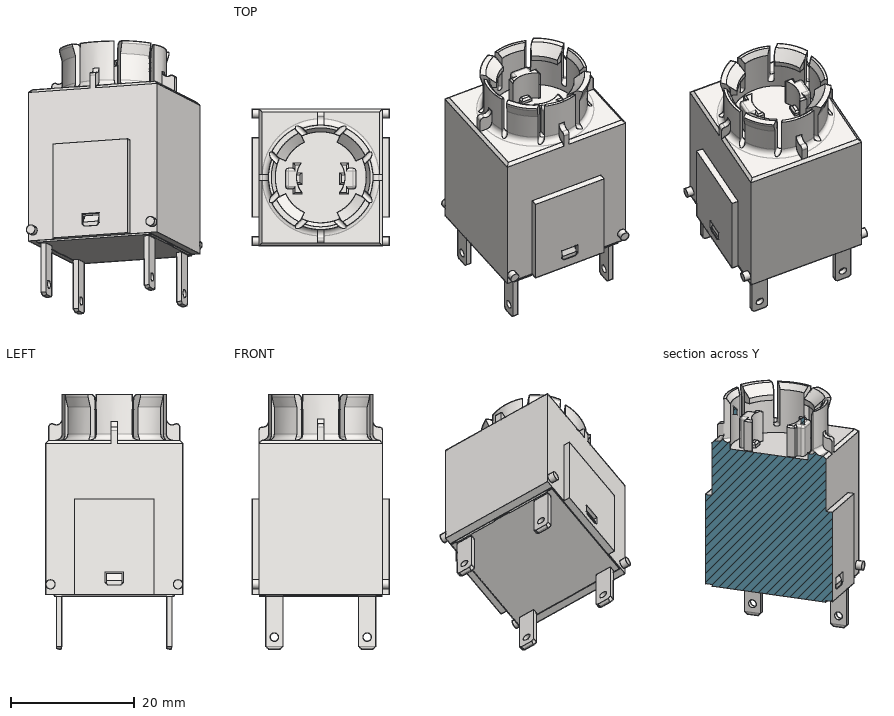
import cadquery as cq
import math

body_x = 20.0
body_y = 22.2
body_h = 24.95
body_chamfer = 0.5
overall_x = 22.2
side_step = (overall_x - body_x) / 2

collar_h = 7.42
top_z = body_h + collar_h
collar_r = 8.45
bore_r = 14.7 / 2
floor_z = body_h - 1.05
root_fillet = 1.05
lead_r = 8.0
lead_drop = 1.05
slot_w = 0.95
segment_w = 5.15
slot_floor_z = body_h + 0.05
slot_offset = (segment_w + slot_w) / 2
flare_r = 8.95
flare_band = 0.4
flare_drop = 2.05
hook_r = 6.25
hook_ramp = 1.55
hook_drop = 2.47
hook_angle = 40
diagonals = (45, 135, 225, 315)

rib_w = 1.0
rib_nose_r = 0.55
rib_valley_r = 0.9
rib_shoulder_z = top_z - 5.28
rib_y_end = body_y / 2 - body_chamfer

post_top_z = top_z - 3.17
post_face_r = 3.9
post_inner_x = 3.05
ear_outer_x = 4.45
ear_w = 5.05
post_outer_x = 5.7
post_w = 3.4
post_chamfer = 0.3
post_round = 0.45
post_corner_r = 0.5
post_shift_y = -0.2
bump_w = 1.85
bump_top_z = floor_z + 0.82
bump_chamfer = 0.35

panel_w = 12.85
panel_h = 15.45
pin_d = 1.5
pin_y = 10.3
pin_z = 1.65
window_w = 2.95
window_h = 2.05
window_z = 1.55
window_corner = 0.4
window_back = 0.6
window_front = 0.12
catch_w = 2.55
catch_slope_bottom = 0.7
catch_slope_top = 1.8

plate_x = 19.8
plate_y = 19.55
plate_t = 0.3
plate_chamfer = 0.2
plate_tab_w = 2.93
plate_corner_w = 1.0
terminal_len = 41.25 - top_z
terminal_w = 2.8
terminal_t = 0.85
terminal_x = 7.5
terminal_y = 8.9
terminal_corner = 0.5
terminal_edge = 0.12
terminal_hole_d = 1.3
terminal_hole_z = 1.98


def box(x, y, z0, z1):
    """Box centred on the Z axis between two heights."""
    return cq.Workplane("XY").workplane(offset=z0).rect(x, y).extrude(z1 - z0)


def both_sides(shape):
    """The shape together with its mirror image across the YZ plane."""
    return shape.union(shape.mirror("YZ"))


def turn(shape, angle):
    return shape.rotate((0, 0, 0), (0, 0, 1), angle)


def make_housing():
    return box(body_x, body_y, 0, body_h).faces(">Z").chamfer(body_chamfer)


def make_collar():
    """Collar ring with a filleted root and a flared rim on its four diagonal segments."""
    arc_mid = root_fillet * (1 - math.sqrt(0.5))
    ring = (
        cq.Workplane("XZ")
        .moveTo(bore_r, floor_z)
        .lineTo(collar_r + root_fillet, floor_z)
        .lineTo(collar_r + root_fillet, body_h)
        .threePointArc((collar_r + arc_mid, body_h + arc_mid), (collar_r, body_h + root_fillet))
        .lineTo(collar_r, top_z)
        .lineTo(lead_r, top_z)
        .lineTo(bore_r, top_z - lead_drop)
        .close()
        .revolve(360, (0, 0, 0), (0, 1, 0))
    )
    flare = (
        cq.Workplane("XZ")
        .moveTo(lead_r, top_z)
        .lineTo(flare_r, top_z)
        .lineTo(flare_r, top_z - flare_band)
        .lineTo(collar_r, top_z - flare_drop)
        .lineTo(lead_r, top_z - flare_drop)
        .close()
        .revolve(360, (0, 0, 0), (0, 1, 0))
    )
    bar = box(4 * collar_r, segment_w, floor_z, top_z)
    cross = turn(bar, diagonals[0]).union(turn(bar, diagonals[1]))
    return ring.union(flare.intersect(cross))


def make_slots():
    """Four round-bottomed slots, each running across the collar beside a diagonal."""
    places = [(-slot_offset, slot_floor_z + slot_w / 2), (slot_offset, slot_floor_z + slot_w / 2)]
    ends = cq.Workplane("YZ").pushPoints(places).circle(slot_w / 2).extrude(2 * collar_r, both=True)
    gap = box(4 * collar_r, slot_w, slot_floor_z + slot_w / 2, top_z + slot_w)
    slot = ends
    for y in (-slot_offset, slot_offset):
        slot = slot.union(gap.translate((0, y, 0)))
    return turn(slot, diagonals[0]).union(turn(slot, diagonals[1]))


def make_hook():
    """Inward snap hook, centred on the +X axis."""
    wall_r = (lead_r + collar_r) / 2
    hook = (
        cq.Workplane("XZ")
        .moveTo(wall_r, top_z - hook_drop)
        .lineTo(hook_r, top_z - hook_drop)
        .lineTo(hook_r, top_z - hook_ramp)
        .lineTo(lead_r, top_z)
        .lineTo(wall_r, top_z)
        .close()
        .revolve(hook_angle, (0, 0, 0), (0, 1, 0))
    )
    middle = hook.val().Center()
    return turn(hook, -math.degrees(math.atan2(middle.y, middle.x)))


def make_rib(end, nose_z):
    """Rib on the +X axis: a rounded nose at its outer end flows into a hollow that runs up the collar.

    nose_z is the height of the centre of the nose.
    """
    root_x = (bore_r + collar_r) / 2
    base_z = body_h - 2 * body_chamfer
    nose_x = end - rib_nose_r
    valley_x = collar_r + rib_valley_r
    spacing = rib_nose_r + rib_valley_r
    lean = math.asin((nose_x - valley_x) / spacing)
    valley_z = nose_z + spacing * math.cos(lean)

    def nose_point(angle):
        return (nose_x + rib_nose_r * math.cos(angle), nose_z + rib_nose_r * math.sin(angle))

    def valley_point(angle):
        return (valley_x + rib_valley_r * math.cos(angle), valley_z + rib_valley_r * math.sin(angle))

    nose_end = math.pi / 2 + lean
    valley_start = lean - math.pi / 2
    return (
        cq.Workplane("XZ")
        .moveTo(root_x, base_z)
        .lineTo(end, base_z)
        .lineTo(end, nose_z)
        .threePointArc(nose_point(nose_end / 2), nose_point(nose_end))
        .threePointArc(valley_point((valley_start - math.pi) / 2), (collar_r, valley_z))
        .lineTo(root_x, valley_z)
        .close()
        .extrude(rib_w / 2, both=True)
    )


def post_block(outer_x, width, height_z):
    """Block standing on the collar floor from the inner side of a post out to outer_x."""
    block = box(outer_x - post_inner_x, width, floor_z, height_z)
    return block.translate(((outer_x + post_inner_x) / 2, post_shift_y, 0))


def make_post():
    """Post on the +X side with a hollow inner face, side ears and a small bump at its foot."""
    body = post_block(post_outer_x, post_w, post_top_z).edges("|Z and >X").fillet(post_corner_r)
    body = body.faces(">Z").edges(">X").fillet(post_round)
    ears = post_block(ear_outer_x, ear_w, post_top_z)
    ears = ears.faces(">Z").edges(">X or >Y or <Y").chamfer(post_chamfer)
    hollow = cq.Workplane("XY").workplane(offset=floor_z).circle(post_face_r).extrude(collar_h)
    bump = post_block(post_outer_x, bump_w, bump_top_z)
    bump = bump.faces(">Z").edges("<X or >Y or <Y").chamfer(bump_chamfer)
    return body.union(ears).cut(hollow).union(bump)


def make_side_panel():
    """Panel on the +X side with a window whose back slopes outward towards its lower edge."""
    face_x = overall_x / 2
    panel = box(side_step, panel_w, 0, panel_h).translate(((body_x + side_step) / 2, 0, 0))
    window = (
        box(2 * window_back, window_w, window_z, window_z + window_h)
        .translate((face_x, 0, 0))
        .edges("|X and <Z")
        .chamfer(window_corner)
    )
    catch = (
        cq.Workplane("XZ")
        .moveTo(face_x - window_back, window_z)
        .lineTo(face_x - window_front, window_z)
        .lineTo(face_x - window_front, window_z + catch_slope_bottom)
        .lineTo(face_x - window_back, window_z + catch_slope_top)
        .close()
        .extrude(catch_w / 2, both=True)
        .intersect(window)
    )
    return panel.cut(window.cut(catch))


def make_pins():
    return (
        cq.Workplane("YZ")
        .pushPoints([(-pin_y, pin_z), (pin_y, pin_z)])
        .circle(pin_d / 2)
        .extrude(overall_x / 2, both=True)
    )


def make_base_plate():
    """Thin plate under the housing, bevelled along its Y edges between square tabs."""
    plate = box(plate_x, plate_y, -plate_t, 0).faces("<Z").edges("|X").chamfer(plate_chamfer)
    corner_x = (plate_x - plate_corner_w) / 2
    for x, width in ((-corner_x, plate_corner_w), (0, plate_tab_w), (corner_x, plate_corner_w)):
        plate = plate.union(box(width, plate_y - plate_chamfer, -plate_t, 0).translate((x, 0, 0)))
    return plate


def make_terminal():
    """Flat blade with a tapered tip and a hole, hanging below the housing at the Z axis."""
    return (
        box(terminal_w, terminal_t, -terminal_len, 0)
        .edges("|Y and <Z")
        .chamfer(terminal_corner)
        .faces("<Z").edges("|X")
        .chamfer(terminal_corner, terminal_edge)
        .faces(">Y").workplane(origin=(0, 0, terminal_hole_z - terminal_len))
        .hole(terminal_hole_d)
    )


bore = cq.Workplane("XY").workplane(offset=floor_z).circle(bore_r).extrude(top_z - floor_z)
result = make_housing().cut(bore).union(make_collar())
hook = make_hook()
for angle in diagonals:
    result = result.union(turn(hook, angle))
result = result.cut(make_slots())

rib_x = make_rib(body_x / 2, rib_shoulder_z - rib_nose_r)
rib_y = make_rib(rib_y_end, rib_shoulder_z)
result = result.union(both_sides(rib_x)).union(turn(both_sides(rib_y), 90))

result = result.union(both_sides(make_post()))
result = result.union(both_sides(make_side_panel())).union(make_pins()).union(make_base_plate())

terminal = make_terminal()
for x in (-terminal_x, terminal_x):
    for y in (-terminal_y, terminal_y):
        result = result.union(terminal.translate((x, y, 0)))